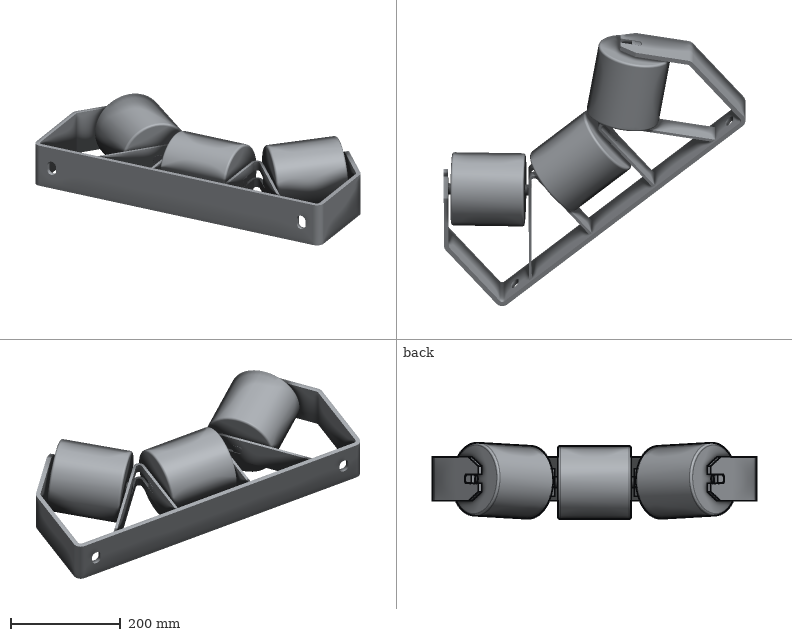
import cadquery as cq
import math

FRAME_WIDTH = 590.0
FRAME_HEIGHT = 80.0
STRIP = 8.0
BEND_INSIDE = 6.0
BEND_Y = 156.5
LEAN = 40.0
ARM_TIP_Y = 261.5
TIP_CUT_LENGTH = 28.5
TIP_CUT_HEIGHT = 17.0

HOLE_WIDTH = 17.5
HOLE_HEIGHT = 26.5
HOLE_X = 256.0

BRACKET = 5.0
BRACKET_HEIGHT = 51.0
BRACKET_Z = -6.5
BRACKET_FACE_X = 72.5

ROLLER_DIAMETER = 133.5
ROLLER_LENGTH = 133.5
ROLLER_EDGE = 4.0
SHAFT_RADIUS = 10.0
TANG_FLAT = 7.5
MIDDLE_ROLLER_Y = 124.5
SEAT_TO_TIP = 29.0

SLOT_CLEARANCE = 0.5
COLLAR_CLEARANCE = 0.5

HALF_WIDTH = FRAME_WIDTH / 2
FRAME_BEND = BEND_INSIDE + STRIP
BRACKET_BEND = BEND_INSIDE + BRACKET
COLLAR = BRACKET_FACE_X - ROLLER_LENGTH / 2
SLOT_LENGTH = 2 * BEND_Y

ARM = cq.Vector(math.sin(math.radians(LEAN)), math.cos(math.radians(LEAN)), 0)
INWARD = cq.Vector(ARM.y, -ARM.x, 0)
OUTWARD_ANGLE = 180 - LEAN

CORNER_CENTER = cq.Vector(-HALF_WIDTH + FRAME_BEND, FRAME_BEND, 0)
ARM_CENTER = cq.Vector(-HALF_WIDTH + FRAME_BEND, BEND_Y, 0)
BRACKET_CENTER = cq.Vector(-BRACKET_FACE_X - BRACKET_BEND, BEND_Y, 0)

ARM_START = ARM_CENTER - INWARD * FRAME_BEND
ARM_TIP = ARM_START + ARM * ((ARM_TIP_Y - ARM_START.y) / ARM.y)
ARM_SEAT = ARM_TIP - ARM * SEAT_TO_TIP
LEG_SURFACE = BRACKET_CENTER - INWARD * BRACKET_BEND
LEG_SEAT = ARM_SEAT + INWARD * (LEG_SURFACE - ARM_SEAT).dot(INWARD) + cq.Vector(0, 0, BRACKET_Z)
UPRIGHT_SEAT = cq.Vector(-BRACKET_FACE_X, MIDDLE_ROLLER_Y, BRACKET_Z)


def on_circle(center, radius, angle):
    turn = math.radians(angle)
    return (center.x + radius * math.cos(turn), center.y + radius * math.sin(turn))


def bend(outline, center, radius, start, end):
    """Run the outline to the start of a bend and around it."""
    return outline.lineTo(*on_circle(center, radius, start)).threePointArc(
        on_circle(center, radius, (start + end) / 2), on_circle(center, radius, end)
    )


def keyed_prism(plane, radius, flat, open_length, depth):
    """Round bar with two side flats, cut square (or run on) at open_length along local X."""
    flat_start = -math.sqrt(radius**2 - flat**2)
    return (
        cq.Workplane(plane)
        .moveTo(open_length, -flat)
        .lineTo(flat_start, -flat)
        .threePointArc((-radius, 0), (flat_start, flat))
        .lineTo(open_length, flat)
        .close()
        .extrude(depth)
    )


def seat_slot(seat, open_direction, depth_direction, depth):
    """Slot with a rounded closed end that holds a shaft tang."""
    plane = cq.Plane(origin=seat, xDir=open_direction, normal=depth_direction)
    return keyed_prism(
        plane, SHAFT_RADIUS + SLOT_CLEARANCE, TANG_FLAT + SLOT_CLEARANCE, SLOT_LENGTH, depth
    )


def left_strip():
    """Left half of the front plate, the side wall and the leaning arm."""
    tip_inner = ARM_TIP + INWARD * STRIP
    outline = cq.Workplane("XY").moveTo(0, 0)
    outline = bend(outline, CORNER_CENTER, FRAME_BEND, 270, 180)
    outline = bend(outline, ARM_CENTER, FRAME_BEND, 180, OUTWARD_ANGLE)
    outline = outline.lineTo(ARM_TIP.x, ARM_TIP.y).lineTo(tip_inner.x, tip_inner.y)
    outline = bend(outline, ARM_CENTER, BEND_INSIDE, OUTWARD_ANGLE, 180)
    outline = bend(outline, CORNER_CENTER, BEND_INSIDE, 180, 270)
    strip = outline.lineTo(0, STRIP).close().extrude(FRAME_HEIGHT / 2, both=True)

    hole = (
        cq.Workplane("XZ", origin=(-HOLE_X, STRIP, 0))
        .slot2D(HOLE_HEIGHT, HOLE_WIDTH, 90)
        .extrude(STRIP)
    )
    slot = seat_slot(ARM_SEAT, ARM, INWARD, STRIP)
    return strip.cut(hole).cut(slot).cut(tip_corners())


def tip_corners():
    """Upper and lower wedges taken off the arm tip."""
    plane = cq.Plane(origin=ARM_TIP, xDir=ARM, normal=INWARD)
    half_height = FRAME_HEIGHT / 2
    upper = (
        cq.Workplane(plane)
        .polyline([
            (-TIP_CUT_LENGTH, half_height),
            (0, half_height),
            (0, half_height - TIP_CUT_HEIGHT),
        ])
        .close()
        .extrude(STRIP)
    )
    return upper.union(upper.mirror("XY"))


def left_bracket():
    """Upright leg and leaning leg joined by a bend, with one slot running around the bend."""
    foot_outer = LEG_SURFACE - ARM * ((LEG_SURFACE.y - STRIP) / ARM.y)
    foot_inner_x = foot_outer.x + BRACKET / INWARD.x
    outline = cq.Workplane("XY").moveTo(-BRACKET_FACE_X, STRIP)
    outline = bend(outline, BRACKET_CENTER, BRACKET_BEND, 0, OUTWARD_ANGLE)
    outline = outline.lineTo(foot_outer.x, STRIP).lineTo(foot_inner_x, STRIP)
    outline = bend(outline, BRACKET_CENTER, BEND_INSIDE, OUTWARD_ANGLE, 0)
    outline = outline.lineTo(-BRACKET_FACE_X - BRACKET, STRIP).close()
    bracket = outline.extrude(BRACKET_HEIGHT / 2, both=True).translate((0, 0, BRACKET_Z))

    upright_slot = seat_slot(UPRIGHT_SEAT, cq.Vector(0, 1, 0), cq.Vector(-1, 0, 0), BRACKET_BEND)
    leg_slot = seat_slot(LEG_SEAT, ARM, INWARD, BRACKET_BEND)
    return bracket.cut(upright_slot).cut(leg_slot)


def make_roller(plane, collar, near_tang, far_tang):
    """Roller centred on the plane origin, its axis along the plane normal.

    Tang lengths count from the collar ends; the tangs are cut square on the local +X side.
    """
    half_shaft = ROLLER_LENGTH / 2 + collar
    drum = (
        cq.Workplane(plane)
        .workplane(offset=-ROLLER_LENGTH / 2)
        .circle(ROLLER_DIAMETER / 2)
        .extrude(ROLLER_LENGTH)
        .edges()
        .fillet(ROLLER_EDGE)
    )
    shaft = (
        cq.Workplane(plane).workplane(offset=-half_shaft).circle(SHAFT_RADIUS).extrude(2 * half_shaft)
    )
    roller = drum.union(shaft)
    for start, length in ((-half_shaft, -near_tang), (half_shaft, far_tang)):
        tang_plane = cq.Plane(
            origin=plane.toWorldCoords((0, 0, start)), xDir=plane.xDir, normal=plane.zDir
        )
        tang = keyed_prism(tang_plane, SHAFT_RADIUS, TANG_FLAT, TANG_FLAT, length)
        roller = roller.union(tang, clean=False)
    return roller


def make_frame():
    """Bent strip, both brackets and the middle roller held between them, as one solid."""
    left_half = left_strip().union(left_bracket())
    middle_plane = cq.Plane(
        origin=(0, MIDDLE_ROLLER_Y, BRACKET_Z), xDir=(0, 1, 0), normal=(1, 0, 0)
    )
    middle_roller = make_roller(middle_plane, COLLAR, BRACKET, BRACKET)
    return left_half.union(left_half.mirror("YZ")).union(middle_roller, clean=False)


def make_side_roller(side):
    """Tilted roller between arm and bracket; side is -1 for left, 1 for right."""
    def place(vector):
        return cq.Vector(-side * vector.x, vector.y, vector.z)

    arm_face = ARM_SEAT + INWARD * STRIP
    plane = cq.Plane(
        origin=place((arm_face + LEG_SEAT) * 0.5), xDir=place(ARM), normal=place(LEG_SEAT - arm_face)
    )
    return make_roller(
        plane, COLLAR - COLLAR_CLEARANCE, STRIP + COLLAR_CLEARANCE, BRACKET + COLLAR_CLEARANCE
    )


frame = make_frame()
side_rollers = [make_side_roller(side) for side in (-1, 1)]

result = cq.Compound.makeCompound([frame.val(), *[roller.val() for roller in side_rollers]])